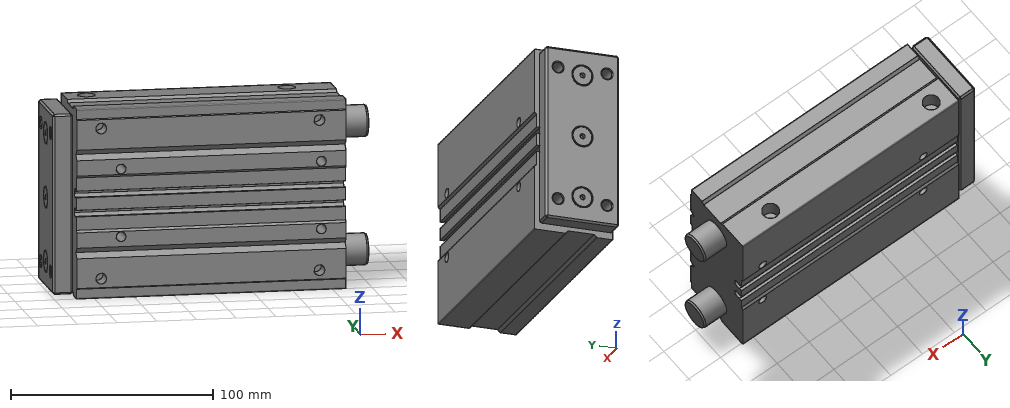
import cadquery as cq
import math


total_length = 161.5
body_start = 11.8
body_end = 147.5
body_length = body_end - body_start
body_half_depth = 21.0
body_half_height = 48.0

plate_thickness = 10.0
plate_depth = 38.8
plate_height = 91.1
plate_chamfer = 1.0
guide_diameter = 16.0
guide_offset = 32.5
guide_chamfer_length = 1.0
guide_chamfer_inset = 0.5
piston_rod_diameter = 12.0
cylinder_end_wall = 13.0
piston_rod_end = body_end - cylinder_end_wall

tap_diameter = 5.3
tap_mouth_diameter = 6.3
tap_y = 13.0
tap_z = 35.0
screw_recess_diameter = 11.0
screw_head_diameter = 10.0
screw_groove_depth = 0.8
screw_socket_diameter = 2.6
screw_socket_depth = 2.5

edge_fillet = 0.5
rim_inset = 0.5
rim_z = 43.0
recess_depth = 1.1
recess_half_height = 14.4
rib_groove_outer_z = 27.5
rib_groove_inner_z = 22.1
end_channel_depth = 1.5
end_channel_front_y = -12.0
end_channel_back_y = 4.5
slot_z = 4.8
slot_mouth = 3.4
slot_diameter = 4.5
slot_neck = 1.8
slot_floor_width = 1.0

blind_hole_diameter = 5.3
blind_hole_depth = 9.7
blind_hole_x = (24.0, 134.0)
blind_hole_z = 38.0
through_hole_diameter = 4.8
through_hole_x = (34.0, 135.0)
through_hole_z = 17.1
port_diameter = 8.7
port_depth = 9.7
port_passage_diameter = 3.2
port_passage_depth = 19.4
port_x = (23.1, 124.0)
port_y = 13.2


def x_cylinder(diameter, start, end, y=0.0, z=0.0):
    """Cylinder along X between two X positions."""
    return cq.Workplane("YZ", origin=(start, y, z)).circle(diameter / 2).extrude(end - start)


def body_prism(points):
    """Closed (Y, Z) outline extruded over the length of the housing."""
    return cq.Workplane("YZ", origin=(body_start, 0, 0)).polyline(points).close().extrude(body_length)


def housing_block():
    """Block with rounded long edges and set-back strips along the front edges."""
    rim_y = body_half_depth - rim_inset
    step_z = rim_z - rim_inset
    upper = [(-body_half_depth, step_z), (-rim_y, rim_z), (-rim_y, body_half_height),
             (body_half_depth, body_half_height)]
    lower = [(y, -z) for y, z in reversed(upper)]
    return body_prism(upper + lower).edges("|X and (>Z or <Z)").fillet(edge_fillet)


def side_recess(side):
    """Shallow central recess with sloped flanks; side is -1 for front, 1 for back."""
    face_y = side * body_half_depth
    floor_y = side * (body_half_depth - recess_depth)
    floor_z = recess_half_height - recess_depth
    return body_prism([(face_y, -recess_half_height), (floor_y, -floor_z),
                       (floor_y, floor_z), (face_y, recess_half_height)])


def sensor_slot(side, level):
    """Keyhole slot: a round channel, with a narrow flat floor, behind a narrower mouth."""
    floor_y = body_half_depth - recess_depth
    radius = slot_diameter / 2
    centre_depth = slot_neck + math.sqrt(radius ** 2 - (slot_mouth / 2) ** 2)
    centre_y = side * (floor_y - centre_depth)
    channel = x_cylinder(slot_diameter, body_start, body_end, centre_y, level)
    low = level - slot_mouth / 2
    high = level + slot_mouth / 2
    neck = body_prism([(centre_y, low), (side * floor_y, low), (side * floor_y, high), (centre_y, high)])
    bottom_y = centre_y - side * radius
    floor_low = level - slot_floor_width / 2
    floor_high = level + slot_floor_width / 2
    floor = body_prism([(bottom_y, floor_low), (centre_y, floor_low),
                        (centre_y, floor_high), (bottom_y, floor_high)])
    return channel.union(neck).union(floor)


def rib_groove(side):
    """45 degree V groove in the front face; side is 1 for upper, -1 for lower."""
    middle_z = (rib_groove_outer_z + rib_groove_inner_z) / 2
    depth = (rib_groove_outer_z - rib_groove_inner_z) / 2
    return body_prism([(-body_half_depth, side * rib_groove_outer_z),
                       (depth - body_half_depth, side * middle_z),
                       (-body_half_depth, side * rib_groove_inner_z)])


def end_channel(side):
    """Wide shallow channel with 45 degree flanks in the top (1) or bottom (-1) face."""
    face_z = side * body_half_height
    floor_z = side * (body_half_height - end_channel_depth)
    return body_prism([(end_channel_front_y, face_z),
                       (end_channel_front_y + end_channel_depth, floor_z),
                       (end_channel_back_y - end_channel_depth, floor_z),
                       (end_channel_back_y, face_z)])


def y_holes(diameter, depth, x_places, level):
    """Holes from the front face, above and below the middle."""
    places = [(x, z) for x in x_places for z in (-level, level)]
    front = cq.Workplane("XZ", origin=(0, -body_half_depth, 0))
    return front.pushPoints(places).circle(diameter / 2).extrude(-depth)


def top_holes(diameter, depth):
    """Holes down from the top face at the air ports."""
    places = [(x, port_y) for x in port_x]
    top = cq.Workplane("XY", origin=(0, 0, body_half_height))
    return top.pushPoints(places).circle(diameter / 2).extrude(-depth)


def make_housing():
    """Extruded housing with its grooves, mounting holes, ports and rod bores."""
    body = housing_block()
    for side in (-1, 1):
        body = body.cut(side_recess(side)).cut(rib_groove(side)).cut(end_channel(side))
        for level in (-slot_z, slot_z):
            body = body.cut(sensor_slot(side, level))
        body = body.cut(x_cylinder(guide_diameter, body_start, body_end, z=side * guide_offset))
    body = body.cut(x_cylinder(piston_rod_diameter, body_start, piston_rod_end))
    body = body.cut(y_holes(blind_hole_diameter, blind_hole_depth, blind_hole_x, blind_hole_z))
    body = body.cut(y_holes(through_hole_diameter, 2 * body_half_depth, through_hole_x, through_hole_z))
    body = body.cut(top_holes(port_diameter, port_depth))
    return body.cut(top_holes(port_passage_diameter, port_passage_depth))


def guide_rod(level):
    """Guide rod with a slim chamfer on its free end."""
    radius = guide_diameter / 2
    outline = [(plate_thickness, 0), (plate_thickness, radius),
               (total_length - guide_chamfer_length, radius),
               (total_length, radius - guide_chamfer_inset), (total_length, 0)]
    rod = cq.Workplane("XY").polyline(outline).close().revolve(360, (0, 0, 0), (1, 0, 0))
    return rod.translate((0, 0, level))


def plate_tap():
    """Threaded hole through the plate with a countersunk mouth."""
    mouth_depth = (tap_mouth_diameter - tap_diameter) / 2
    outline = [(0, 0), (0, tap_mouth_diameter / 2), (mouth_depth, tap_diameter / 2),
               (plate_thickness, tap_diameter / 2), (plate_thickness, 0)]
    return cq.Workplane("XY").polyline(outline).close().revolve(360, (0, 0, 0), (1, 0, 0))


def screw_marks(level):
    """Ring groove around a flush screw head and the small socket in its middle."""
    ring = x_cylinder(screw_recess_diameter, 0, screw_groove_depth, z=level)
    ring = ring.cut(x_cylinder(screw_head_diameter, 0, screw_groove_depth, z=level))
    return ring.union(x_cylinder(screw_socket_diameter, 0, screw_socket_depth, z=level))


def make_carriage():
    """Tool plate carrying two guide rods and the piston rod."""
    plate = cq.Workplane("XY").box(plate_thickness, plate_depth, plate_height, centered=(False, True, True))
    carriage = plate.edges().chamfer(plate_chamfer)
    carriage = carriage.union(x_cylinder(piston_rod_diameter, plate_thickness, piston_rod_end))
    for level in (-guide_offset, guide_offset):
        carriage = carriage.union(guide_rod(level))
    for level in (-guide_offset, 0, guide_offset):
        carriage = carriage.cut(screw_marks(level))
    for y in (-tap_y, tap_y):
        for z in (-tap_z, tap_z):
            carriage = carriage.cut(plate_tap().translate((0, y, z)))
    return carriage


housing = make_housing()
carriage = make_carriage()

result = cq.Compound.makeCompound([housing.solids().val(), carriage.solids().val()])